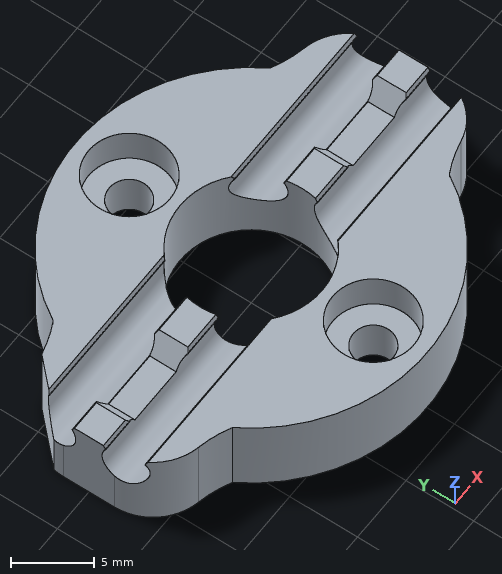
import cadquery as cq
import math

length = 33.5
disc_diameter = 26.0
thickness = 6.0
half_length = length / 2
disc_radius = disc_diameter / 2

arm_corner_radius = 4.0
flat_half_width = 1.88
arm_shoulder_x = 13.55
disc_joint_x = 11.2
end_chamfer = 3.2

bore_diameter = 10.5
screw_offset = 9.0
screw_diameter = 2.95
counterbore_diameter = 6.0
counterbore_depth = 2.7

groove_offset = 2.5
groove_diameter = 3.08
groove_depth = 2.7
groove_radius = groove_diameter / 2
throat_half_width = 1.27
mouth_half_width = 1.45

notch_center = 11.25
notch_floor_length = 4.25
notch_depth = 1.4
notch_ramp_length = 1.1

corner_center_x = half_length - arm_corner_radius
shoulder_y = flat_half_width + math.sqrt(
    arm_corner_radius**2 - (arm_shoulder_x - corner_center_x) ** 2
)
corner_mid = (
    corner_center_x + arm_corner_radius * math.cos(math.pi / 4),
    flat_half_width + arm_corner_radius * math.sin(math.pi / 4),
)
joint_y = math.sqrt(disc_radius**2 - disc_joint_x**2)


def make_arm(side_x):
    """Arm from the YZ plane to one end, with a rounded and blended outline."""
    arm = None
    for side_y in (1, -1):
        half = (
            cq.Workplane("XY")
            .moveTo(0, 0)
            .lineTo(side_x * half_length, 0)
            .lineTo(side_x * half_length, side_y * flat_half_width)
            .threePointArc(
                (side_x * corner_mid[0], side_y * corner_mid[1]),
                (side_x * arm_shoulder_x, side_y * shoulder_y),
            )
            .tangentArcPoint((side_x * disc_joint_x, side_y * joint_y), relative=False)
            .close()
            .extrude(thickness)
        )
        arm = half if arm is None else arm.union(half)
    return arm


def make_corner_cut():
    """Everything outside the 45 degree cut at the -X +Y corner."""
    return (
        cq.Workplane("XY")
        .moveTo(-half_length, shoulder_y - end_chamfer)
        .lineTo(-half_length, shoulder_y)
        .lineTo(-half_length + end_chamfer, shoulder_y)
        .close()
        .extrude(thickness)
    )


def make_groove(center_y):
    """Round groove with a narrow throat that flares out to the top face."""
    axis_z = thickness - groove_depth + groove_radius
    throat_z = axis_z + math.sqrt(groove_radius**2 - throat_half_width**2)
    return (
        cq.Workplane("YZ", origin=(-half_length, 0, 0))
        .moveTo(center_y - mouth_half_width, thickness)
        .lineTo(center_y - throat_half_width, throat_z)
        .threePointArc(
            (center_y, axis_z - groove_radius),
            (center_y + throat_half_width, throat_z),
        )
        .lineTo(center_y + mouth_half_width, thickness)
        .close()
        .extrude(length)
    )


def make_notch(center_x):
    """Trapezoidal notch with sloped ends, across the rib between the groove axes."""
    half_floor = notch_floor_length / 2
    half_top = half_floor + notch_ramp_length
    floor_z = thickness - notch_depth
    return (
        cq.Workplane("XZ")
        .moveTo(center_x - half_top, thickness)
        .lineTo(center_x - half_floor, floor_z)
        .lineTo(center_x + half_floor, floor_z)
        .lineTo(center_x + half_top, thickness)
        .close()
        .extrude(groove_offset, both=True)
    )


result = cq.Workplane("XY").circle(disc_radius).extrude(thickness)
for side in (1, -1):
    result = result.union(make_arm(side))
result = result.cut(make_corner_cut())

for side in (1, -1):
    result = result.cut(make_groove(side * groove_offset))
    result = result.cut(make_notch(side * notch_center))

result = result.faces("<Z").workplane(origin=(0, 0, 0)).circle(bore_diameter / 2).cutThruAll()
result = (
    result.faces(">Z")
    .workplane(origin=(0, 0, thickness))
    .pushPoints([(0, screw_offset), (0, -screw_offset)])
    .cboreHole(screw_diameter, counterbore_diameter, counterbore_depth)
)